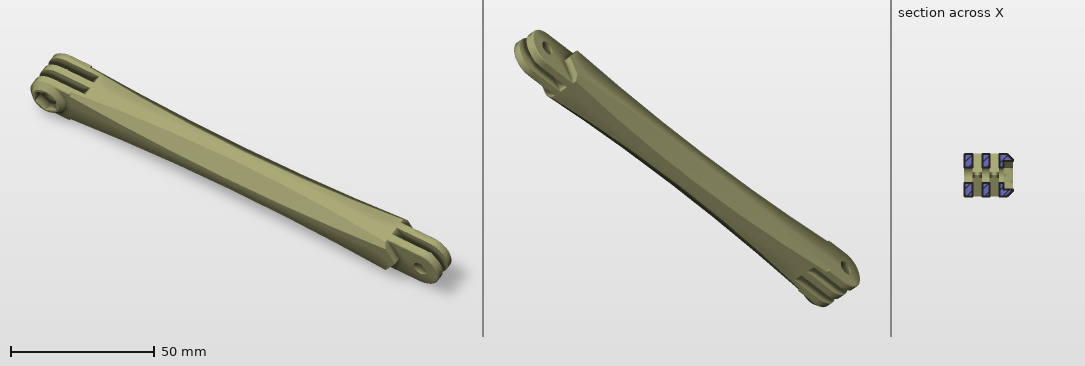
import cadquery as cq
import math

arm_size = 15.0
lug_radius = arm_size / 2
overall_length = 165
hinge_span = overall_length - arm_size
pin_diameter = 5.3

slot_width = 3.3
middle_prong_width = 2.6
right_prong_width = 3.0
side_prong_width = (arm_size - middle_prong_width) / 2 - slot_width
side_prong_y = lug_radius - side_prong_width / 2
right_prong_y = (slot_width + right_prong_width) / 2
lug_clearance = 1.0
ridge_x = lug_radius + lug_clearance
prong_bevel = 0.3
ridge_depth = 4.8

scallop_depth_middle = 5.0
scallop_depth_end = 1.2

boss_height = 2.0
boss_base_radius = 7.5
boss_top_radius = 5.5
nut_across_flats = 8.5
nut_pocket_depth = 3.3


def box(x_min, x_max, y_center, y_width):
    """Full-height block between two X positions, centred on a given Y."""
    block = cq.Workplane("XY").box(x_max - x_min, y_width, arm_size)
    return block.translate(((x_min + x_max) / 2, y_center, 0))


def pin_cylinder(x, diameter, length):
    """Cylinder along the hinge axis at X, centred on the arm."""
    return cq.Workplane("XZ").center(x, 0).circle(diameter / 2).extrude(length / 2, both=True)


def ridged_core():
    """Arm block whose two end walls rise to a horizontal ridge at mid-height."""
    left_ridge = ridge_x
    right_ridge = hinge_span - ridge_x
    outline = [
        (left_ridge, 0),
        (left_ridge + ridge_depth, lug_radius),
        (right_ridge - ridge_depth, lug_radius),
        (right_ridge, 0),
        (right_ridge - ridge_depth, -lug_radius),
        (left_ridge + ridge_depth, -lug_radius),
    ]
    return cq.Workplane("XZ").polyline(outline).close().extrude(lug_radius, both=True)


def prong(hinge_x, root_x, y_center, width):
    """Round-ended prong from inside the arm to a hinge axis, bevelled on its outward face."""
    bar = box(min(hinge_x, root_x), max(hinge_x, root_x), y_center, width)
    eye = pin_cylinder(hinge_x, arm_size, width).translate((0, y_center, 0))
    blade = bar.union(eye)
    if y_center == 0:
        return blade
    outward_face = ">Y" if y_center > 0 else "<Y"
    return blade.faces(outward_face).edges().chamfer(prong_bevel)


def scallop_cutter():
    """Bowed cutter that hollows one long corner of the arm, deepest at mid-span."""
    start = ridge_x
    end = hinge_span
    half_length = hinge_span / 2 - start
    corner_distance = lug_radius * math.sqrt(2)
    middle_level = corner_distance - scallop_depth_middle / math.sqrt(2)
    end_level = corner_distance - scallop_depth_end / math.sqrt(2)
    sag = end_level - middle_level
    bow_radius = (half_length ** 2 + sag ** 2) / (2 * sag)
    bow = cq.Workplane("XZ").center(hinge_span / 2, middle_level + bow_radius).circle(bow_radius)
    bow = bow.extrude(arm_size, both=True)
    window = cq.Workplane("XY").box(end - start, arm_size, arm_size)
    window = window.translate(((start + end) / 2, 0, corner_distance))
    return bow.intersect(window).rotate((0, 0, 0), (1, 0, 0), 45)


def nut_boss():
    """Tapered round boss on the -Y face of the left hinge."""
    base = cq.Workplane("XZ", origin=(0, -lug_radius, 0)).circle(boss_base_radius)
    return base.workplane(offset=boss_height).circle(boss_top_radius).loft()


def nut_pocket():
    """Hexagonal pocket sunk into the boss, with two flats facing along X."""
    nut_across_corners = nut_across_flats / math.cos(math.radians(30))
    boss_top = cq.Workplane("XZ", origin=(0, -lug_radius - boss_height, 0))
    hexagon = boss_top.transformed(rotate=(0, 0, 30)).polygon(6, nut_across_corners)
    return hexagon.extrude(-nut_pocket_depth)


mid_x = hinge_span / 2
arm = ridged_core()
arm = arm.union(prong(0, mid_x, 0, middle_prong_width))
for side in (-1, 1):
    arm = arm.union(prong(0, mid_x, side * side_prong_y, side_prong_width))
    arm = arm.union(prong(hinge_span, mid_x, side * right_prong_y, right_prong_width))

cutter = scallop_cutter()
for quarter_turn in range(4):
    arm = arm.cut(cutter.rotate((0, 0, 0), (1, 0, 0), 90 * quarter_turn))

arm = arm.union(nut_boss()).cut(nut_pocket())
for hinge_x in (0, hinge_span):
    arm = arm.cut(pin_cylinder(hinge_x, pin_diameter, 2 * (arm_size + boss_height)))

result = arm